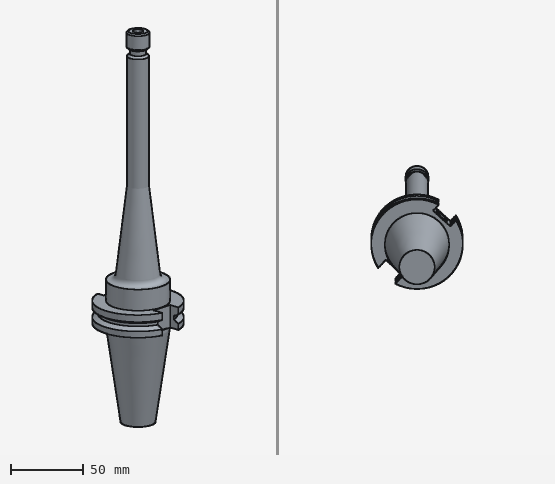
import cadquery as cq
import math

TOTAL_LENGTH = 284.2
GAUGE_Z = 68.5
FLANGE_BOTTOM_Z = 71.5
FLANGE_TOP_Z = 88.0
COLLAR_TOP_Z = 103.5
SHANK_BOTTOM_Z = 172.0
SHANK_TOP_Z = 266.0
NECK_BOTTOM_Z = 267.7
NECK_TOP_Z = 271.5
HEAD_BOTTOM_Z = 272.8

GAUGE_RADIUS = 22.2
TAPER_RATIO = 7 / 24
TAPER_END_RADIUS = GAUGE_RADIUS - GAUGE_Z * TAPER_RATIO / 2
FLANGE_DIAMETER = 63.5
FLANGE_RADIUS = FLANGE_DIAMETER / 2
CONE_BASE_RADIUS = 15.3
SHANK_RADIUS = 7.7
NECK_RADIUS = 5.7
NECK_STEP_RADIUS = 6.5
HEAD_RADIUS = 8.0
HEAD_CHAMFER = 1.0
BASE_FILLET = 4.5

GROOVE_RADIUS = 27.5
GROOVE_TOP_Z = 83.0
GROOVE_BOTTOM_Z = 76.2
GROOVE_FLANK_HEIGHT = 2.3

SLOT_WIDTH = 16.2
LEFT_SLOT_FLOOR = 25.0
RIGHT_SLOT_FLOOR = 22.7
SLOT_HOLE_DIAMETER = 10.0
SLOT_HOLE_DEPTH = 4.3

SOCKET_DIAMETER = 7.0
SOCKET_DEPTH = 8.5


def turned_body():
    """Taper, flange, collar, cone, shank and head as one revolved profile."""
    fillet_top_z = COLLAR_TOP_Z + BASE_FILLET
    fillet_center_radius = CONE_BASE_RADIUS + BASE_FILLET
    fillet_mid_offset = BASE_FILLET * math.sqrt(0.5)
    profile = (
        cq.Workplane("XZ")
        .moveTo(0, 0)
        .lineTo(TAPER_END_RADIUS, 0)
        .lineTo(GAUGE_RADIUS, GAUGE_Z)
        .lineTo(GAUGE_RADIUS, FLANGE_BOTTOM_Z)
        .lineTo(FLANGE_RADIUS, FLANGE_BOTTOM_Z)
        .lineTo(FLANGE_RADIUS, GROOVE_BOTTOM_Z)
        .lineTo(GROOVE_RADIUS, GROOVE_BOTTOM_Z + GROOVE_FLANK_HEIGHT)
        .lineTo(GROOVE_RADIUS, GROOVE_TOP_Z - GROOVE_FLANK_HEIGHT)
        .lineTo(FLANGE_RADIUS, GROOVE_TOP_Z)
        .lineTo(FLANGE_RADIUS, FLANGE_TOP_Z)
        .lineTo(GAUGE_RADIUS, FLANGE_TOP_Z)
        .lineTo(GAUGE_RADIUS, COLLAR_TOP_Z)
        .lineTo(fillet_center_radius, COLLAR_TOP_Z)
        .threePointArc(
            (fillet_center_radius - fillet_mid_offset, fillet_top_z - fillet_mid_offset),
            (CONE_BASE_RADIUS, fillet_top_z),
        )
        .lineTo(SHANK_RADIUS, SHANK_BOTTOM_Z)
        .lineTo(SHANK_RADIUS, SHANK_TOP_Z)
        .lineTo(NECK_RADIUS, NECK_BOTTOM_Z)
        .lineTo(NECK_RADIUS, NECK_TOP_Z)
        .lineTo(NECK_STEP_RADIUS, NECK_TOP_Z)
        .lineTo(NECK_STEP_RADIUS, HEAD_BOTTOM_Z)
        .lineTo(HEAD_RADIUS, HEAD_BOTTOM_Z)
        .lineTo(HEAD_RADIUS, TOTAL_LENGTH - HEAD_CHAMFER)
        .lineTo(HEAD_RADIUS - HEAD_CHAMFER, TOTAL_LENGTH)
        .lineTo(0, TOTAL_LENGTH)
        .close()
    )
    return profile.revolve(360, (0, 0), (0, 1))


def drive_slot(floor_distance, side):
    """Slot through the flange height; side is -1 for -X and +1 for +X."""
    height = FLANGE_TOP_Z - FLANGE_BOTTOM_Z
    depth = FLANGE_RADIUS - floor_distance
    center_x = side * (floor_distance + depth / 2)
    center_z = FLANGE_BOTTOM_Z + height / 2
    return cq.Workplane("XY").box(depth, SLOT_WIDTH, height).translate((center_x, 0, center_z))


def slot_hole():
    """Blind radial hole in the floor of the -X slot."""
    center_z = (FLANGE_BOTTOM_Z + FLANGE_TOP_Z) / 2
    return (
        cq.Workplane("YZ", origin=(-LEFT_SLOT_FLOOR, 0, center_z))
        .circle(SLOT_HOLE_DIAMETER / 2)
        .extrude(SLOT_HOLE_DEPTH)
    )


def head_socket():
    """Blind round socket in the end face."""
    return (
        cq.Workplane("XY", origin=(0, 0, TOTAL_LENGTH))
        .circle(SOCKET_DIAMETER / 2)
        .extrude(-SOCKET_DEPTH)
    )


result = (
    turned_body()
    .cut(drive_slot(LEFT_SLOT_FLOOR, -1))
    .cut(drive_slot(RIGHT_SLOT_FLOOR, 1))
    .cut(slot_hole())
    .cut(head_socket())
)